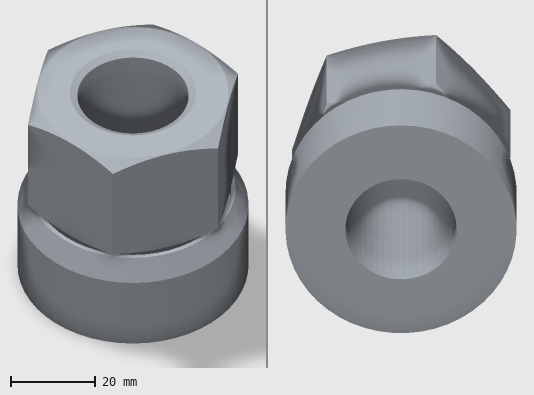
import cadquery as cq
import math

total_height = 56.0
collar_diameter = 55.0
collar_height = 25.0

shoulder_height = 5.3
shoulder_angle = math.radians(30)
shoulder_width = shoulder_height * math.tan(shoulder_angle)

recess_diameter = 46.75
recess_depth = 5.6
seat_level = collar_height - recess_depth

across_flats = 46.0
across_corners = across_flats / math.cos(math.pi / 6)
corner_angle = math.radians(30)
top_face_diameter = 45.5
shank_diameter = 43.35

bore_diameter = 26.5
bore_mouth_diameter = 30.0
bore_chamfer_angle = math.radians(30)
bore_chamfer_depth = (bore_mouth_diameter - bore_diameter) / 2 * math.tan(bore_chamfer_angle)


def corner_drop(circle_diameter):
    """Height over which the trimming cone grows from a circle to the hexagon corners."""
    return (across_corners - circle_diameter) / 2 * math.tan(corner_angle)


def make_collar():
    """Round collar with a conical shoulder, a plain bore and a recess on top, standing on Z = 0."""
    outer = collar_diameter / 2
    inner = bore_diameter / 2
    return (
        cq.Workplane("XZ")
        .moveTo(inner, 0)
        .lineTo(outer, 0)
        .lineTo(outer, collar_height - shoulder_height)
        .lineTo(outer - shoulder_width, collar_height)
        .lineTo(recess_diameter / 2, collar_height)
        .lineTo(recess_diameter / 2, seat_level)
        .lineTo(inner, seat_level)
        .close()
        .revolve(360, (0, 0, 0), (0, 1, 0))
    )


def make_nut():
    """Hexagon nut with a round shank seated in the collar recess."""
    hexagon = (
        cq.Workplane("XY", origin=(0, 0, seat_level))
        .polygon(6, across_corners)
        .extrude(total_height - seat_level)
    )
    inner = bore_diameter / 2
    corner = across_corners / 2
    blank = (
        cq.Workplane("XZ")
        .moveTo(inner, seat_level)
        .lineTo(shank_diameter / 2, seat_level)
        .lineTo(shank_diameter / 2, collar_height)
        .lineTo(corner, collar_height + corner_drop(shank_diameter))
        .lineTo(corner, total_height - corner_drop(top_face_diameter))
        .lineTo(top_face_diameter / 2, total_height)
        .lineTo(bore_mouth_diameter / 2, total_height)
        .lineTo(inner, total_height - bore_chamfer_depth)
        .close()
        .revolve(360, (0, 0, 0), (0, 1, 0))
    )
    return hexagon.intersect(blank)


collar = make_collar()
nut = make_nut()

result = cq.Compound.makeCompound([collar.val(), nut.solids().val()])